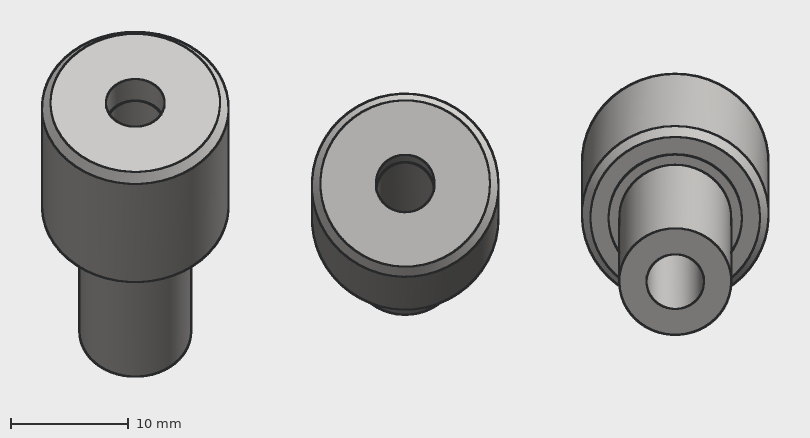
import cadquery as cq

total_height = 33.45
head_diameter = 15.9
head_height = 15.85
head_chamfer = 0.75
head_bore_diameter = 5.0
head_bore_depth = 3.15
collar_diameter = 11.35
collar_protrusion = 0.15
stem_diameter = 9.53
stem_bore_diameter = 4.9

head_bottom = total_height - head_height
recess_top = total_height - head_bore_depth
collar_bottom = head_bottom - collar_protrusion


def cylinder(diameter, bottom, top):
    """Solid cylinder on the Z axis between two levels."""
    return cq.Workplane("XY").workplane(offset=bottom).circle(diameter / 2).extrude(top - bottom)


def tube(outer_diameter, inner_diameter, bottom, top):
    """Cylinder on the Z axis with a through bore."""
    return cylinder(outer_diameter, bottom, top).cut(cylinder(inner_diameter, bottom, top))


def make_head():
    """Chamfered head with a top bore that opens into a recess for the collar."""
    blank = cylinder(head_diameter, head_bottom, total_height)
    blank = blank.faces("<Z or >Z").edges().chamfer(head_chamfer)
    bore = cylinder(head_bore_diameter, head_bottom, total_height)
    recess = cylinder(collar_diameter, head_bottom, recess_top)
    return blank.cut(bore).cut(recess)


def make_collar():
    """Sleeve between head and stem, standing slightly proud below the head."""
    return tube(collar_diameter, stem_diameter, collar_bottom, recess_top)


def make_stem():
    """Hollow stem that reaches up through the collar to the end of the recess."""
    return tube(stem_diameter, stem_bore_diameter, 0, recess_top)


head = make_head()
collar = make_collar()
stem = make_stem()

result = cq.Compound.makeCompound([head.val(), collar.val(), stem.val()])